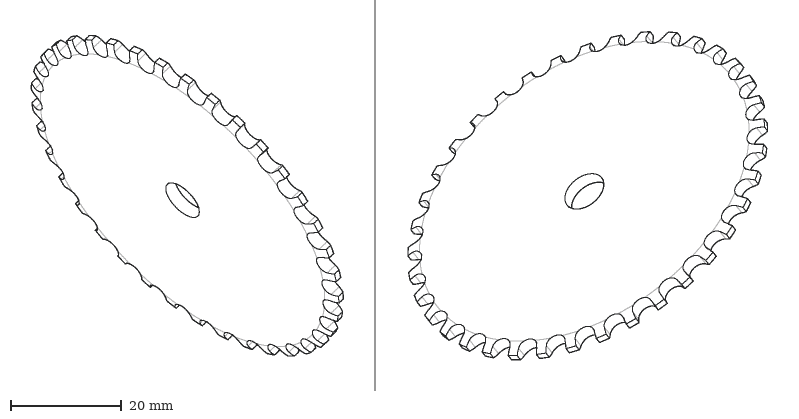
import cadquery as cq
import math

tooth_count = 37
chain_pitch = 6.0
roller_seat_radius = 2.0
outer_radius = 36.55
thickness = 2.6
bore_diameter = 8.0
flat_face_radius = 33.8
rim_rounding_radius = 6.0

half_thickness = thickness / 2
tooth_angle = 360 / tooth_count
half_tooth_angle = math.radians(tooth_angle / 2)
pitch_radius = chain_pitch / (2 * math.sin(half_tooth_angle))


def rounded_blank():
    """Disc whose rim curves in tangentially from each flat face, revolved about Y."""
    rim_sweep = math.asin((outer_radius - flat_face_radius) / rim_rounding_radius)

    def rim_point(sweep):
        radius = flat_face_radius + rim_rounding_radius * math.sin(sweep)
        side = half_thickness - rim_rounding_radius * (1 - math.cos(sweep))
        return radius, side

    mid_radius, mid_side = rim_point(rim_sweep / 2)
    tip_radius, tip_side = rim_point(rim_sweep)
    return (
        cq.Workplane("XY")
        .moveTo(0, -half_thickness)
        .lineTo(flat_face_radius, -half_thickness)
        .threePointArc((mid_radius, -mid_side), (tip_radius, -tip_side))
        .lineTo(tip_radius, tip_side)
        .threePointArc((mid_radius, mid_side), (flat_face_radius, half_thickness))
        .lineTo(0, half_thickness)
        .close()
        .revolve(360, (0, 0, 0), (0, 1, 0))
    )


def tooth_gap():
    """Gap on the +Z side: a roller seat opening through the rim.

    Its flanks leave the seat tangentially and flare by half the tooth angle,
    so that every tooth has parallel sides.
    """
    seat_x = roller_seat_radius * math.cos(half_tooth_angle)
    seat_z = pitch_radius - roller_seat_radius * math.sin(half_tooth_angle)
    mouth_z = outer_radius + roller_seat_radius
    mouth_x = seat_x + (mouth_z - seat_z) * math.tan(half_tooth_angle)
    return (
        cq.Workplane("XZ")
        .moveTo(-mouth_x, mouth_z)
        .lineTo(-seat_x, seat_z)
        .threePointArc((0, pitch_radius - roller_seat_radius), (seat_x, seat_z))
        .lineTo(mouth_x, mouth_z)
        .close()
        .extrude(half_thickness, both=True)
    )


first_gap = tooth_gap().val()
axis_start = cq.Vector(0, 0, 0)
axis_end = cq.Vector(0, 1, 0)
gap_angles = [(index + 0.5) * tooth_angle for index in range(tooth_count)]
gaps = [first_gap.rotate(axis_start, axis_end, angle) for angle in gap_angles]

bore = cq.Workplane("XZ").circle(bore_diameter / 2).extrude(half_thickness, both=True)

result = rounded_blank().cut(cq.Workplane(cq.Compound.makeCompound(gaps))).cut(bore)